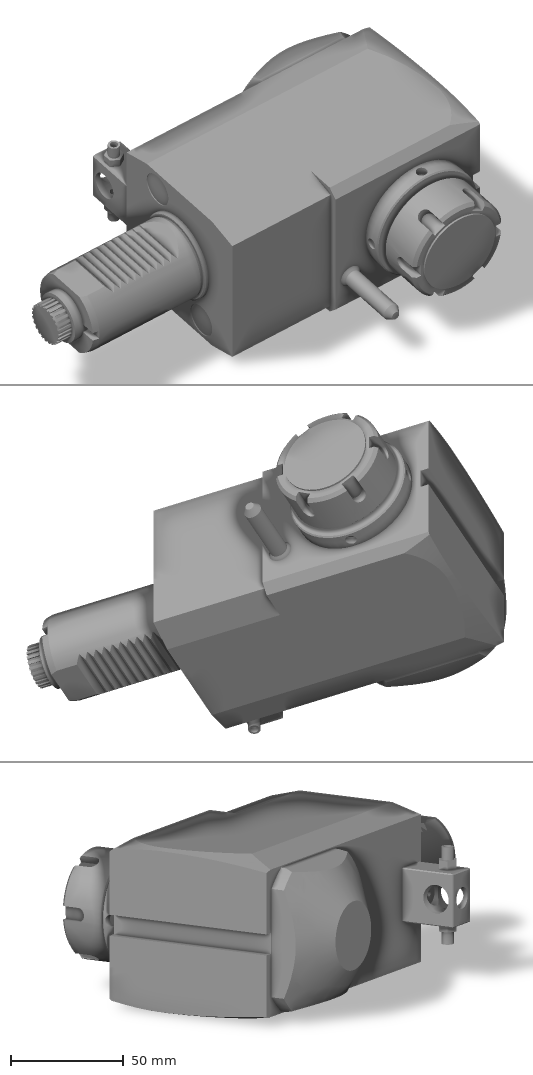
import cadquery as cq
import math


housing_length = 136.0
housing_height = 75.0
half_height = housing_height / 2
side_x = 38.6
spindle_face_x = 42.2
step_y = 55.0
bevel_angle = math.radians(15)
bevel_width = 14.8
bevel_drop = bevel_width * math.tan(bevel_angle)
spindle_bevel = 4.2
crown_x = 15.5
crown_y = 132.8
crown_radius_left = 89.0
crown_radius_right = 29.0
end_slot_width = 9.6
end_slot_depth = 4.0
plug_diameter = 15.8
plug_x = 16.0
plug_z = 27.8
plug_recess = 0.5

spindle_y = 100.0
cap_radius = 40.0
cap_cone_x = -45.0
cap_end_x = -62.3
cap_end_radius = 15.7
cap_half_height = 32.7
cap_bevel_x = -41.2
cap_flat_y = 131.5

flange_radius = 28.0
flange_end_x = 50.6
neck_radius = 21.5
nut_start_x = 52.4
nut_end_x = 73.4
nut_radius = 25.2
nut_chamfer = 1.5
collet_radius = 19.7
nose_end_x = 74.3
small_chamfer = 0.6
nut_slot_count = 6
nut_slot_width = 6.5
nut_slot_start_x = 61.6
nut_slot_floor = 21.0
flange_hole_diameter = 5.2
flange_hole_x = 46.4
flange_hole_depth = 4.0
flange_hole_count = 4

pin_y = 63.5
pin_z = -17.7
pin_radius = 4.1
pin_foot_radius = 5.4
pin_foot_length = 1.6
pin_tip_radius = 2.0
pin_tip_length = 3.2
pin_end_x = 75.0

collar_radius = 21.6
collar_length = 2.2
shank_radius = 20.0
shank_groove_radius = 19.7
shank_groove_end = 3.4
shank_length = 63.2
shank_chamfer_length = 3.2
shank_end_radius = 19.3
flat_z = 16.9
tooth_count = 10
tooth_pitch = 4.0
tooth_root_z = 14.3
first_tooth_y = -11.5
key_slot_width = 4.6
key_slot_start_x = 12.0
key_slot_depth = 3.0
key_hole_x = 13.9
key_hole_diameter = 3.4
key_hole_depth = 5.0

coupling_radius = 12.3
coupling_end = 67.8
spline_tip_radius = 10.0
spline_root_radius = 9.1
spline_end = 75.0
spline_count = 24
spline_gap_width = 1.3

block_end_x = -64.6
block_start_y = 0.9
block_end_y = 16.4
block_half_height = 12.3
block_chamfer = 0.5
block_bore_x = -55.9
block_bore_diameter = 13.0
side_bore_y = 8.4
side_bore_diameter = 9.8
side_bore_depth = 17.0
side_drill_diameter = 2.6
side_drill_depth = 22.0
nozzle_y = 6.2
hex_across_flats = 7.8
hex_height = 3.9
nozzle_diameter = 5.5
nozzle_height = 9.8
nozzle_hole_diameter = 3.6


def prism_along_y(outline, y_start, y_end):
    """Extrude an (x, z) outline from y_start to y_end."""
    plane = cq.Workplane("XZ", origin=(0, y_start, 0))
    return plane.polyline(outline).close().extrude(y_start - y_end)


def box_between(x_range, y_range, z_range):
    sizes = [high - low for low, high in (x_range, y_range, z_range)]
    corner = (x_range[0], y_range[0], z_range[0])
    return cq.Workplane("XY").box(*sizes, centered=False).translate(corner)


def turned_along_x(stations, y, z):
    """Revolve (x, radius) stations about the line parallel to X through (y, z)."""
    points = [(stations[0][0], 0), *stations, (stations[-1][0], 0)]
    turned = cq.Workplane("XY").polyline(points).close().revolve(360, (0, 0, 0), (1, 0, 0))
    return turned.translate((0, y, z))


def turned_along_y(stations):
    """Revolve (y, radius) stations about the shank axis."""
    points = [(0, stations[0][0]), *[(r, y) for y, r in stations], (0, stations[-1][0])]
    return cq.Workplane("XY").polyline(points).close().revolve(360, (0, 0, 0), (0, 1, 0))


def both_sides(shape):
    """Add the mirror image of a shape across the Z = 0 plane."""
    return shape.union(shape.mirror("XY"))


def housing_outline(right_x, right_bevel_width, right_bevel_drop):
    upper = [
        (-side_x, half_height - bevel_drop),
        (bevel_width - side_x, half_height),
        (right_x - right_bevel_width, half_height),
        (right_x, half_height - right_bevel_drop),
    ]
    return upper + [(x, -z) for x, z in reversed(upper)]


def crown_half(radius, x_range):
    """One side of the crowned end: a plain length, then two cones with Z axes, base to base at mid height."""
    center_y = crown_y - radius
    base_radius = radius + half_height / math.tan(bevel_angle)
    profile = [
        (0, half_height),
        (radius, half_height),
        (base_radius, 0),
        (radius, -half_height),
        (0, -half_height),
    ]
    cone = cq.Workplane("XZ").polyline(profile).close().revolve(360, (0, 0, 0), (0, 1, 0))
    z_range = (-half_height, half_height)
    limits = box_between(x_range, (max(center_y, step_y), housing_length), z_range)
    crown = cone.translate((crown_x, center_y, 0)).intersect(limits)
    if center_y > step_y:
        crown = crown.union(box_between(x_range, (step_y, center_y), z_range))
    return crown


def make_housing():
    front = prism_along_y(housing_outline(side_x, bevel_width, bevel_drop), 0, step_y)
    rear_outline = housing_outline(spindle_face_x, spindle_bevel, spindle_bevel)
    rear = prism_along_y(rear_outline, step_y, housing_length)
    left_crown = crown_half(crown_radius_left, (-side_x, crown_x))
    right_crown = crown_half(crown_radius_right, (crown_x, spindle_face_x))
    housing = front.union(rear.intersect(left_crown)).union(rear.intersect(right_crown))

    end_slot = box_between(
        (-side_x, spindle_face_x),
        (housing_length - end_slot_depth, housing_length),
        (-end_slot_width / 2, end_slot_width / 2),
    )
    plug_spots = [(-plug_x, plug_z), (plug_x, -plug_z)]
    recesses = cq.Workplane("XZ").pushPoints(plug_spots).circle(plug_diameter / 2).extrude(-plug_recess)
    return housing.cut(end_slot).cut(recesses)


def make_cap():
    stations = [(-side_x, cap_radius), (cap_cone_x, cap_radius), (cap_end_x, cap_end_radius)]
    end_half_height = cap_half_height - (cap_bevel_x - cap_end_x) * math.tan(bevel_angle)
    upper = [(-side_x, cap_half_height), (cap_bevel_x, cap_half_height), (cap_end_x, end_half_height)]
    outline = upper + [(x, -z) for x, z in reversed(upper)]
    limits = prism_along_y(outline, spindle_y - cap_radius, cap_flat_y)
    return turned_along_x(stations, spindle_y, 0).intersect(limits)


def make_spindle():
    stations = [
        (spindle_face_x, flange_radius),
        (flange_end_x - small_chamfer, flange_radius),
        (flange_end_x, flange_radius - small_chamfer),
        (flange_end_x, neck_radius),
        (nut_start_x, neck_radius),
        (nut_start_x, nut_radius - small_chamfer),
        (nut_start_x + small_chamfer, nut_radius),
        (nut_end_x - nut_chamfer, nut_radius),
        (nut_end_x, nut_radius - nut_chamfer),
        (nut_end_x, collet_radius),
        (nose_end_x, collet_radius),
    ]
    spindle = turned_along_x(stations, 0, 0)

    slot_center_x = nut_slot_start_x + nut_slot_width / 2
    slot_height = nut_radius - nut_slot_floor
    slot_plane = cq.Workplane("XY", origin=(slot_center_x, 0, nut_slot_floor))
    slot = slot_plane.circle(nut_slot_width / 2).extrude(slot_height)
    slot = slot.union(box_between(
        (slot_center_x, nose_end_x),
        (-nut_slot_width / 2, nut_slot_width / 2),
        (nut_slot_floor, nut_radius),
    ))
    slot_pitch = 360 / nut_slot_count
    for index in range(nut_slot_count):
        spindle = spindle.cut(slot.rotate((0, 0, 0), (1, 0, 0), (index + 0.5) * slot_pitch))

    hole_plane = cq.Workplane("XY", origin=(flange_hole_x, 0, flange_radius - flange_hole_depth))
    hole = hole_plane.circle(flange_hole_diameter / 2).extrude(flange_hole_depth)
    for index in range(flange_hole_count):
        spindle = spindle.cut(hole.rotate((0, 0, 0), (1, 0, 0), index * 360 / flange_hole_count))
    return spindle.translate((0, spindle_y, 0))


def make_pin():
    stations = [
        (spindle_face_x, pin_foot_radius),
        (spindle_face_x + pin_foot_length, pin_radius),
        (pin_end_x - pin_tip_length, pin_radius),
        (pin_end_x, pin_tip_radius),
    ]
    return turned_along_x(stations, pin_y, pin_z)


def make_rack_cutter():
    """Space above the upper rack and flat of the shank, with 45 degree tooth flanks seen along X."""
    clear_z = collar_radius
    tooth_height = tooth_pitch / 2
    outline = [(first_tooth_y + clear_z - tooth_root_z, clear_z)]
    for index in range(tooth_count):
        root_y = first_tooth_y - index * tooth_pitch
        outline.append((root_y, tooth_root_z))
        outline.append((root_y - tooth_height, tooth_root_z + tooth_height))
    last_root_y = first_tooth_y - (tooth_count - 1) * tooth_pitch
    outline[-1] = (last_root_y - (flat_z - tooth_root_z), flat_z)
    outline += [(-shank_length, flat_z), (-shank_length, clear_z)]
    return cq.Workplane("YZ").polyline(outline).close().extrude(shank_radius, both=True)


def make_shank():
    stations = [
        (0, collar_radius),
        (-collar_length + small_chamfer, collar_radius),
        (-collar_length, collar_radius - small_chamfer),
        (-collar_length, shank_groove_radius),
        (-shank_groove_end, shank_groove_radius),
        (-shank_groove_end, shank_radius),
        (-shank_length + shank_chamfer_length, shank_radius),
        (-shank_length, shank_end_radius),
    ]
    shank = turned_along_y(stations).cut(both_sides(make_rack_cutter()))

    key_slot = box_between(
        (key_slot_start_x, shank_radius),
        (-shank_length, -shank_length + key_slot_depth),
        (-key_slot_width / 2, key_slot_width / 2),
    )
    hole_plane = cq.Workplane("XZ", origin=(key_hole_x, -shank_length, 0))
    key_hole = hole_plane.circle(key_hole_diameter / 2).extrude(-key_hole_depth)
    return shank.cut(key_slot).cut(key_hole)


def make_coupling():
    stations = [
        (-shank_length, coupling_radius),
        (-coupling_end, coupling_radius),
        (-coupling_end, spline_tip_radius),
        (-spline_end, spline_tip_radius),
    ]
    coupling = turned_along_y(stations)
    gap = box_between(
        (spline_root_radius, coupling_radius),
        (-spline_end, -coupling_end),
        (-spline_gap_width / 2, spline_gap_width / 2),
    )
    for index in range(spline_count):
        coupling = coupling.cut(gap.rotate((0, 0, 0), (0, 1, 0), (index + 0.5) * 360 / spline_count))
    return coupling


def make_nozzle():
    plane = cq.Workplane("XY", origin=(block_bore_x, nozzle_y, block_half_height))
    across_corners = hex_across_flats / math.cos(math.pi / 6)
    nozzle = plane.polygon(6, across_corners).extrude(hex_height)
    nozzle = nozzle.union(plane.circle(nozzle_diameter / 2).extrude(nozzle_height))
    return nozzle


def make_coolant_block():
    block = box_between(
        (block_end_x, -side_x), (block_start_y, block_end_y), (-block_half_height, block_half_height)
    )
    block = block.faces("<X").edges().chamfer(block_chamfer)
    block = block.edges("|X").chamfer(block_chamfer)
    front_plane = cq.Workplane("XZ", origin=(block_bore_x, block_start_y, 0))
    front_bore = front_plane.circle(block_bore_diameter / 2).extrude(block_start_y - block_end_y)
    side_plane = cq.Workplane("YZ", origin=(block_end_x, side_bore_y, 0))
    side_bore = side_plane.circle(side_bore_diameter / 2).extrude(side_bore_depth)
    side_drill = side_plane.circle(side_drill_diameter / 2).extrude(side_drill_depth)
    block = block.cut(front_bore).cut(side_bore).cut(side_drill)
    block = block.union(both_sides(make_nozzle()))

    nozzle_reach = block_half_height + nozzle_height
    nozzle_plane = cq.Workplane("XY", origin=(block_bore_x, nozzle_y, 0))
    nozzle_hole = nozzle_plane.circle(nozzle_hole_diameter / 2).extrude(nozzle_reach, both=True)
    return block.cut(nozzle_hole)


result = make_housing()
attachments = [make_cap(), make_spindle(), make_pin(), make_shank(), make_coupling(), make_coolant_block()]
for attachment in attachments:
    result = result.union(attachment)